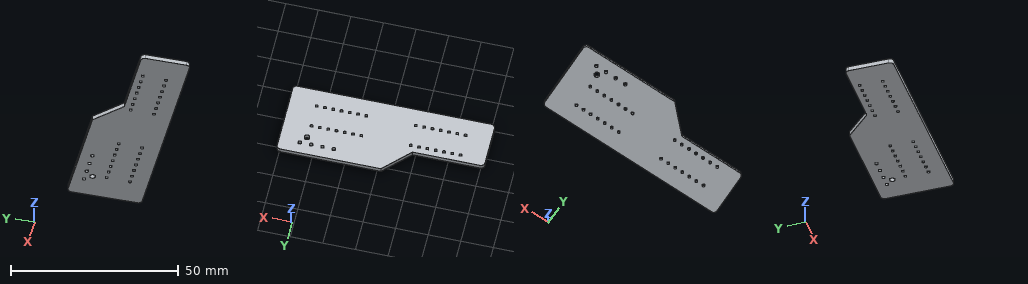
import cadquery as cq

length = 62.0
width = 22.9
thickness = 1.6
corner_radius = 1.25

narrow_width = 15.0
slope_start_x = 21.95
slope_end_x = slope_start_x + (width - narrow_width)

pin_diameter = 0.8
pin_pitch = 2.55
pin_count = 7
lower_row_y = 5.6
upper_row_y = 12.75
pin_row_starts = [
    (7.9, lower_row_y),
    (7.75, upper_row_y),
    (38.3, lower_row_y),
    (38.2, upper_row_y),
]

connector_diameter = 1.0
connector_pitch = 3.5
connector_count = 4
connector_start = (45.1, 19.2)

large_hole_diameter = 1.6
large_hole_center = (53.85, 17.0)


def row_points(start, pitch, count):
    """Hole centers of a row running along X."""
    start_x, y = start
    return [(start_x + i * pitch, y) for i in range(count)]


def drill(body, centers, diameter):
    """Cut vertical holes through the whole plate."""
    tools = cq.Workplane("XY").pushPoints(centers).circle(diameter / 2).extrude(thickness)
    return body.cut(tools)


def make_plate():
    """Stepped plate with its four outer right-angle corners rounded."""
    outline = [
        (0, 0),
        (length, 0),
        (length, width),
        (slope_end_x, width),
        (slope_start_x, narrow_width),
        (0, narrow_width),
    ]
    plate = cq.Workplane("XY").polyline(outline).close().extrude(thickness)
    plate = plate.edges("|Z and (<X or >X)").fillet(corner_radius)
    return plate


result = make_plate()
for row_start in pin_row_starts:
    result = drill(result, row_points(row_start, pin_pitch, pin_count), pin_diameter)
connector_centers = row_points(connector_start, connector_pitch, connector_count)
result = drill(result, connector_centers, connector_diameter)
result = drill(result, [large_hole_center], large_hole_diameter)